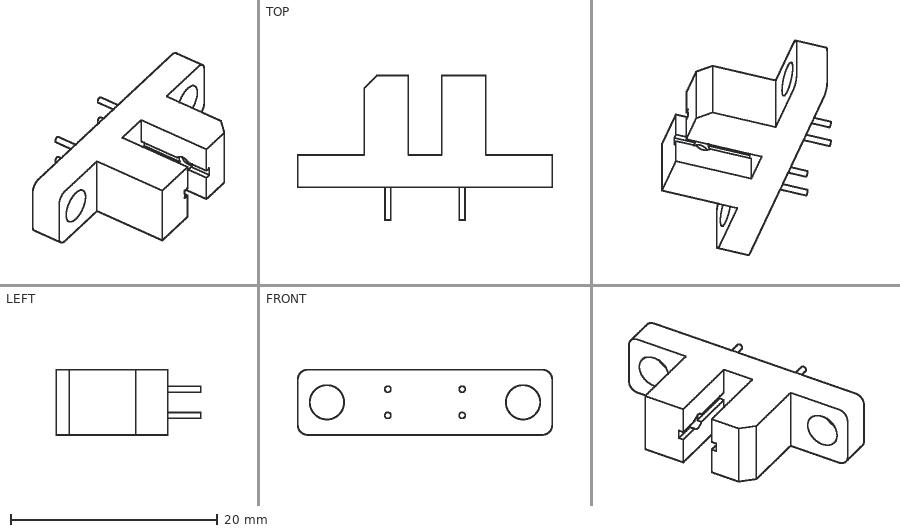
import cadquery as cq

flange_length = 24.7
height = 6.35
flange_thickness = 3.14
flange_corner_radius = 1.0
total_depth = 14.03
lead_length = 3.19
arm_tip_y = total_depth - lead_length

arms_width = 11.83
gap_width = 3.2
tip_chamfer = 1.25

mount_diameter = 3.3
mount_spacing = 19.02

lead_diameter = 0.6
lead_spacing_x = 7.21
lead_spacing_z = 2.55

slit_height = 0.9
slit_depth = 0.5
window_diameter = 1.58
window_depth = 0.5
window_from_tip = 2.8


def box_between(x_min, x_max, y_min, y_max, z_size):
    """Box spanning the given X and Y ranges, centred on Z = 0."""
    box = cq.Workplane("XY").box(x_max - x_min, y_max - y_min, z_size, centered=(False, False, True))
    return box.translate((x_min, y_min, 0))


def make_flange():
    flange = box_between(-flange_length / 2, flange_length / 2, 0, flange_thickness, height)
    flange = flange.edges("|Y").fillet(flange_corner_radius)
    holes = (
        cq.Workplane("XZ")
        .rarray(mount_spacing, 0.25, 2, 1)
        .circle(mount_diameter / 2)
        .extrude(-flange_thickness)
    )
    return flange.cut(holes)


def make_arms():
    """Two arms, the -X one with a chamfered outer tip corner."""
    block = box_between(-arms_width / 2, arms_width / 2, 0, arm_tip_y, height)
    block = block.edges("|Z and <X and >Y").chamfer(tip_chamfer)
    gap = box_between(-gap_width / 2, gap_width / 2, flange_thickness, arm_tip_y, height)
    return block.cut(gap)


def make_optics_cut():
    """Facing slits in both arms, each crossed by a deeper round window."""
    slit_half_span = gap_width / 2 + slit_depth
    slits = box_between(-slit_half_span, slit_half_span, flange_thickness, arm_tip_y, slit_height)
    window_half_span = slit_half_span + window_depth
    windows = (
        cq.Workplane("YZ")
        .center(arm_tip_y - window_from_tip, 0)
        .circle(window_diameter / 2)
        .extrude(window_half_span, both=True)
    )
    return slits.union(windows)


def make_leads():
    return (
        cq.Workplane("XZ", origin=(0, flange_thickness / 2, 0))
        .rarray(lead_spacing_x, lead_spacing_z, 2, 2)
        .circle(lead_diameter / 2)
        .extrude(flange_thickness / 2 + lead_length)
    )


result = make_flange().union(make_arms()).cut(make_optics_cut()).union(make_leads())